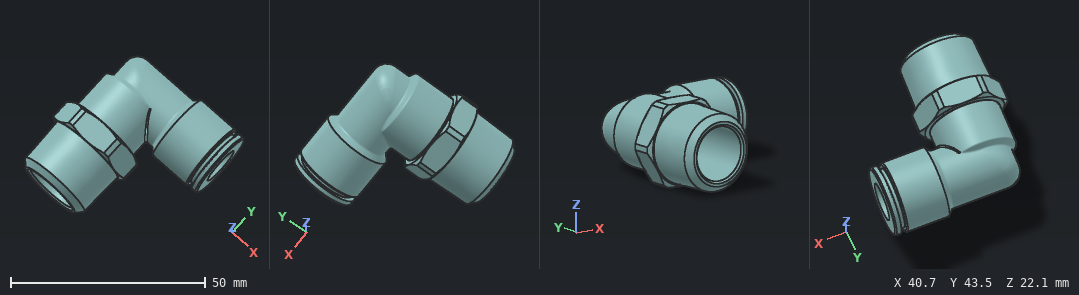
import cadquery as cq
import math

elbow_radius = 8.0
blend_radius = 0.5

corner_round_ratio = 0.5
corner_section_count = 9

collar_radius = 9.75
shoulder_start_y = -0.95
shoulder_slope = math.radians(60)
shoulder_end_y = shoulder_start_y - (collar_radius - elbow_radius) / math.tan(shoulder_slope)
collar_chamfer = 0.2
hex_back_y = -13.45
hex_length = 6.5
hex_front_y = hex_back_y - hex_length
port_face_y = -34.0
thread_chamfer_length = 1.8
thread_end_y = port_face_y + thread_chamfer_length
thread_taper = 1 / 16
thread_start_radius = 10.65
thread_end_radius = thread_start_radius - (hex_front_y - thread_end_y) * thread_taper / 2
port_face_radius = 8.55

hex_sides = 6
hex_flats = 22.0
hex_corner_radius = 12.25
hex_tilt = 0.27
hex_turn = 180 / hex_sides - hex_tilt
hex_chamfer_angle = math.radians(30)
hex_chamfer_height = (hex_corner_radius - hex_flats / 2) * math.tan(hex_chamfer_angle)

sleeve_radius = 9.5
sleeve_cone_start_x = 12.0
sleeve_cone_end_x = sleeve_cone_start_x + sleeve_radius - elbow_radius
sleeve_end_x = 25.4
end_chamfer = 0.4
neck_radius = 8.12
neck_chamfer = 0.25
flange_back_x = 26.7
flange_radius = 9.3
tube_face_x = 28.4

tube_bore_radius = 5.05
passage_radius = 5.5
port_bore_radius = 7.2
port_bore_end_y = hex_back_y
port_step_half_angle = math.radians(60)
port_mouth_chamfer = 0.55


def revolve_about_y(profile):
    """Turn a closed (radius, y) outline around the Y axis."""
    return cq.Workplane("XY").polyline(profile).close().revolve(360, (0, 0, 0), (0, 1, 0))


def revolve_about_x(profile):
    """Turn a closed (x, radius) outline around the X axis."""
    return cq.Workplane("XY").polyline(profile).close().revolve(360, (0, 0, 0), (1, 0, 0))


def make_elbow_corner():
    """Rounded outer corner: half ellipses of equal height fanned around the Z axis."""
    origin = cq.Vector(0, 0, 0)
    round_radius = elbow_radius * corner_round_ratio
    round_center = elbow_radius - round_radius
    ribs = []
    for index in range(corner_section_count):
        angle = math.pi / 2 * (1 + index / (corner_section_count - 1))
        tip = cq.Vector(
            -round_center + round_radius * math.cos(angle),
            round_center + round_radius * math.sin(angle),
            0,
        )
        normal = tip.cross(cq.Vector(0, 0, 1))
        ribs.append(cq.Edge.makeEllipse(tip.Length, elbow_radius, origin, normal, tip, 270, 90, 1))
    skin = cq.occ_impl.shapes.loft(*ribs)
    spine = cq.Edge.makeLine(cq.Vector(0, 0, -elbow_radius), cq.Vector(0, 0, elbow_radius))
    walls = [cq.Face.makeFromWires(cq.Wire.assembleEdges([rib, spine])) for rib in (ribs[0], ribs[-1])]
    return cq.Workplane(cq.occ_impl.shapes.solid(cq.occ_impl.shapes.shell(skin, *walls)))


def make_elbow_leg():
    """Round leg along +X, cut off by the plane through the Z axis where the rounded corner starts."""
    tangent_offset = elbow_radius * (1 - corner_round_ratio)
    rod = cq.Workplane("YZ").workplane(offset=-elbow_radius).circle(elbow_radius)
    rod = rod.extrude(elbow_radius + sleeve_cone_start_x)
    trim = cq.Workplane("XY").polyline([
        (0, 0),
        (-tangent_offset, elbow_radius),
        (sleeve_cone_start_x, elbow_radius),
        (sleeve_cone_start_x, -elbow_radius),
        (0, -elbow_radius),
    ]).close().extrude(elbow_radius, both=True)
    return rod.intersect(trim)


def make_elbow():
    """Two equal legs and the rounded corner that joins them."""
    tube_leg = make_elbow_leg()
    port_leg = tube_leg.rotate((0, 0, 0), (1, -1, 0), 180)
    return make_elbow_corner().union(tube_leg).union(port_leg)


def make_sleeve():
    """Push-in sleeve with a conical back, a neck and the release flange."""
    return revolve_about_x([
        (sleeve_cone_start_x, 0),
        (sleeve_cone_start_x, elbow_radius),
        (sleeve_cone_end_x, sleeve_radius),
        (sleeve_end_x - end_chamfer, sleeve_radius),
        (sleeve_end_x, sleeve_radius - end_chamfer),
        (sleeve_end_x, neck_radius),
        (flange_back_x - neck_chamfer, neck_radius),
        (flange_back_x, neck_radius - neck_chamfer),
        (flange_back_x, flange_radius),
        (tube_face_x - end_chamfer, flange_radius),
        (tube_face_x, flange_radius - end_chamfer),
        (tube_face_x, 0),
    ])


def make_collar():
    """Plain collar between elbow and hexagon; its conical shoulder has a rounded outer edge."""
    collar = revolve_about_y([
        (0, shoulder_start_y),
        (elbow_radius, shoulder_start_y),
        (collar_radius, shoulder_end_y),
        (collar_radius, hex_back_y + collar_chamfer),
        (collar_radius - collar_chamfer, hex_back_y),
        (0, hex_back_y),
    ])
    shoulder_edge = cq.selectors.NearestToPointSelector((0, shoulder_end_y, collar_radius))
    return collar.edges(shoulder_edge).fillet(blend_radius)


def make_hexagon():
    """Hexagon with turned corners and both ends chamfered on a lathe."""
    prism = cq.Workplane("XZ", origin=(0, hex_back_y, 0)).polygon(hex_sides, hex_flats, circumscribed=True)
    prism = prism.extrude(hex_length).rotate((0, 0, 0), (0, 1, 0), hex_turn)
    turned = revolve_about_y([
        (0, hex_back_y),
        (hex_flats / 2, hex_back_y),
        (hex_corner_radius, hex_back_y - hex_chamfer_height),
        (hex_corner_radius, hex_front_y + hex_chamfer_height),
        (hex_flats / 2, hex_front_y),
        (0, hex_front_y),
    ])
    return prism.intersect(turned)


def make_thread_body():
    """Tapered thread envelope with a chamfered end."""
    return revolve_about_y([
        (0, hex_front_y),
        (thread_start_radius, hex_front_y),
        (thread_end_radius, thread_end_y),
        (port_face_radius, port_face_y),
        (0, port_face_y),
    ])


def make_tube_bore():
    """Straight bore along X, open at the tube end."""
    start_x = -passage_radius
    bore = cq.Workplane("YZ").workplane(offset=start_x).circle(tube_bore_radius)
    return bore.extrude(tube_face_x - start_x)


def make_port_bore():
    """Stepped bore along Y: chamfered mouth, wide bore, conical step and narrow passage."""
    step_length = (port_bore_radius - passage_radius) / math.tan(port_step_half_angle)
    return revolve_about_y([
        (0, 0),
        (passage_radius, 0),
        (passage_radius, port_bore_end_y + step_length),
        (port_bore_radius, port_bore_end_y),
        (port_bore_radius, port_face_y + port_mouth_chamfer),
        (port_bore_radius + port_mouth_chamfer, port_face_y),
        (0, port_face_y),
    ])


def blend_elbow_roots(body):
    """Fillet the inside corners where the elbow meets the collar and the sleeve cone."""
    reach = 2 * collar_radius
    sleeve_root = cq.selectors.BoxSelector(
        (sleeve_cone_start_x - blend_radius, -reach, -reach),
        (sleeve_cone_start_x + blend_radius, reach, reach),
        boundingbox=True,
    )
    collar_root = cq.selectors.BoxSelector(
        (-elbow_radius - blend_radius, -elbow_radius - blend_radius, -reach),
        (collar_radius + blend_radius, shoulder_start_y + blend_radius, reach),
        boundingbox=True,
    )
    body = body.edges(sleeve_root).fillet(blend_radius)
    return body.edges(collar_root).fillet(blend_radius)


body = make_elbow().union(make_collar()).union(make_sleeve())
body = blend_elbow_roots(body)
body = body.union(make_hexagon()).union(make_thread_body())
result = body.cut(make_tube_bore()).cut(make_port_bore())